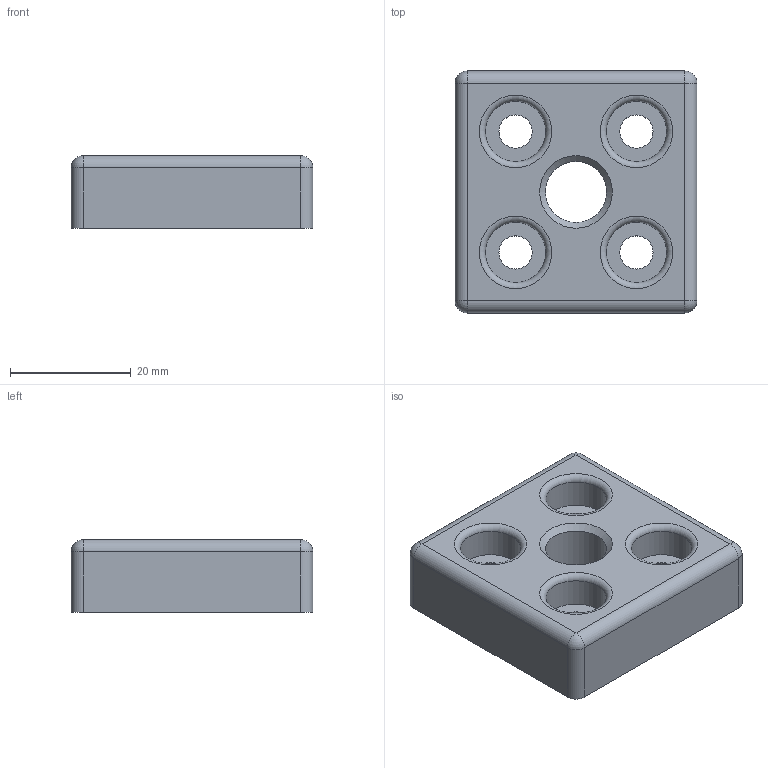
import cadquery as cq
import math

side = 40.0
thickness = 12.0
edge_radius = 2.0

screw_spacing = side / 2
screw_diameter = 5.5
counterbore_diameter = 10.0
counterbore_depth = 5.7
counterbore_rim_radius = 1.0

centre_diameter = 10.11
centre_rim_diameter = 12.0
centre_chamfer = (centre_rim_diameter - centre_diameter) / 2


def plate():
    """Square block with rounded vertical and top edges; the bottom edge stays sharp."""
    block = cq.Workplane("XY").box(side, side, thickness, centered=(True, True, False))
    rounded_corners = block.edges("|Z").fillet(edge_radius)
    return rounded_corners.faces(">Z").edges().fillet(edge_radius)


def revolved(profile):
    """Solid of revolution about the Z axis from a closed profile in the XZ plane."""
    return profile.close().revolve(360, (0, 0), (0, 1))


def screw_hole_cutter():
    """Through hole and counterbore whose mouth flares out in a convex rounded rim."""
    screw_radius = screw_diameter / 2
    bore_radius = counterbore_diameter / 2
    floor_height = thickness - counterbore_depth
    rim_start = thickness - counterbore_rim_radius
    mouth_radius = bore_radius + counterbore_rim_radius
    arc_inset = counterbore_rim_radius * (1 - math.cos(math.radians(45)))
    rim_middle = (bore_radius + arc_inset, thickness - arc_inset)
    return revolved(
        cq.Workplane("XZ")
        .lineTo(screw_radius, 0)
        .lineTo(screw_radius, floor_height)
        .lineTo(bore_radius, floor_height)
        .lineTo(bore_radius, rim_start)
        .threePointArc(rim_middle, (mouth_radius, thickness))
        .lineTo(0, thickness)
    )


def centre_hole_cutter():
    """Through hole that widens conically to its rim at the top face."""
    hole_radius = centre_diameter / 2
    return revolved(
        cq.Workplane("XZ")
        .lineTo(hole_radius, 0)
        .lineTo(hole_radius, thickness - centre_chamfer)
        .lineTo(hole_radius + centre_chamfer, thickness)
        .lineTo(0, thickness)
    )


result = plate().cut(centre_hole_cutter())
for x_sign in (-1, 1):
    for y_sign in (-1, 1):
        position = (x_sign * screw_spacing / 2, y_sign * screw_spacing / 2, 0)
        result = result.cut(screw_hole_cutter().translate(position))